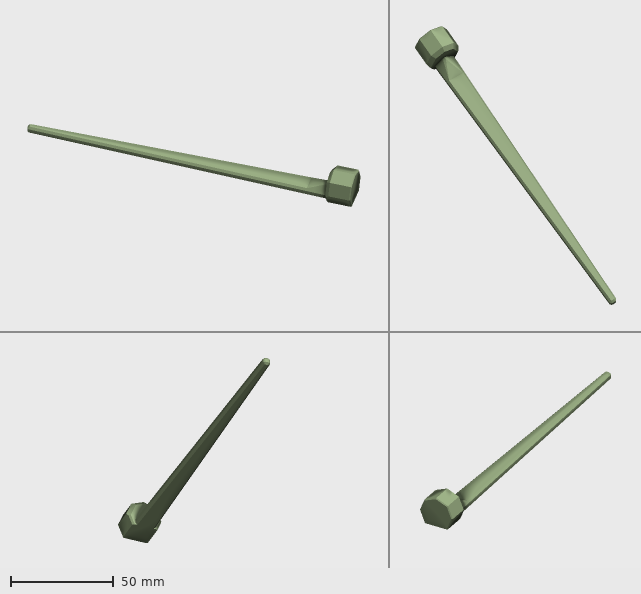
import cadquery as cq
import math

total_length = 166.5
head_length = 13.0
head_radius = 9.24
head_front = total_length - head_length
head_axis_height = head_radius * math.cos(math.pi / 4)
front_upper_chamfer = 2.0
front_lower_chamfer = 0.8
back_chamfer = 0.5

arm_height = 4.0
arm_chamfer = 1.0
tip_width = 3.8
root_width = 10.5
tip_rounding = 1.5
taper_angle = math.atan((root_width - tip_width) / 2 / head_front)

gable_length = 10.5
peak_setback = 1.0
peak_height = 7.5
shoulder_half_width = 1.08


def arm_half_width(x):
    """Half the arm width at distance x from the tip."""
    return tip_width / 2 + x * math.tan(taper_angle)


def facet_chamfer_cutter(facet_angle, x, direction, size):
    """Wedge that bevels one head facet at x; direction is +1 at the front end, -1 at the back."""
    facet_distance = head_radius * math.cos(math.pi / 8)
    margin = 1.7
    corners = [
        (x - direction * margin, facet_distance - size - margin),
        (x + direction * (size + margin), facet_distance + margin),
        (x - direction * margin, facet_distance + margin),
    ]
    return (
        cq.Workplane("XZ").polyline(corners).close()
        .extrude(head_radius, both=True)
        .rotate((0, 0, 0), (1, 0, 0), facet_angle)
        .translate((0, 0, head_axis_height))
    )


def make_head():
    corner_angles = [math.radians(45 * i) for i in range(-1, 6)]
    outline = [
        (head_radius * math.cos(a), head_axis_height + head_radius * math.sin(a))
        for a in corner_angles
    ]
    head = (
        cq.Workplane("YZ", origin=(head_front, 0, 0))
        .polyline(outline).close().extrude(head_length)
    )
    for facet_angle in (-112.5, -67.5, -22.5, 22.5, 67.5, 112.5):
        is_upper = abs(facet_angle) < 90
        front_size = front_upper_chamfer if is_upper else front_lower_chamfer
        head = head.cut(facet_chamfer_cutter(facet_angle, head_front, 1, front_size))
        head = head.cut(facet_chamfer_cutter(facet_angle, total_length, -1, back_chamfer))
    return head


def make_arm():
    tip_half = arm_half_width(0)
    root_half = arm_half_width(head_front)
    outline = [(0, -tip_half), (head_front, -root_half), (head_front, root_half), (0, tip_half)]
    return (
        cq.Workplane("XY").polyline(outline).close().extrude(arm_height)
        .edges("|Z and <X").fillet(tip_rounding)
        .faces("<Z or >Z").edges("not >X").chamfer(arm_chamfer)
    )


def make_gable():
    """Ridge on the arm: a sloped front, 45 degree flanks and a narrow bevel between them."""
    gable_start = head_front - gable_length
    chamfer_run = arm_chamfer / math.cos(taper_angle)
    start_half = arm_half_width(gable_start) - chamfer_run
    root_half = arm_half_width(head_front) - chamfer_run
    shoulder_height = arm_height + (root_half - shoulder_half_width) * math.cos(taper_angle)

    start_left = cq.Vector(gable_start, start_half, arm_height)
    start_right = cq.Vector(gable_start, -start_half, arm_height)
    root_left = cq.Vector(head_front, root_half, arm_height)
    root_right = cq.Vector(head_front, -root_half, arm_height)
    shoulder_left = cq.Vector(head_front, shoulder_half_width, shoulder_height)
    shoulder_right = cq.Vector(head_front, -shoulder_half_width, shoulder_height)
    peak = cq.Vector(head_front - peak_setback, 0, peak_height)

    bevel_normal = (peak - start_left).cross(shoulder_left - start_left)
    ridge_rise = -peak_setback * bevel_normal.x / bevel_normal.z
    ridge_end = cq.Vector(head_front, 0, peak_height + ridge_rise)

    outlines = [
        [start_left, start_right, peak],
        [start_left, peak, ridge_end, shoulder_left],
        [start_right, shoulder_right, ridge_end, peak],
        [start_left, shoulder_left, root_left],
        [start_right, root_right, shoulder_right],
        [root_left, shoulder_left, ridge_end, shoulder_right, root_right],
        [start_left, root_left, root_right, start_right],
    ]
    faces = [cq.Face.makeFromWires(cq.Wire.makePolygon(o, close=True)) for o in outlines]
    return cq.Workplane(obj=cq.Solid.makeSolid(cq.Shell.makeShell(faces)))


result = make_arm().union(make_gable()).union(make_head()).clean()